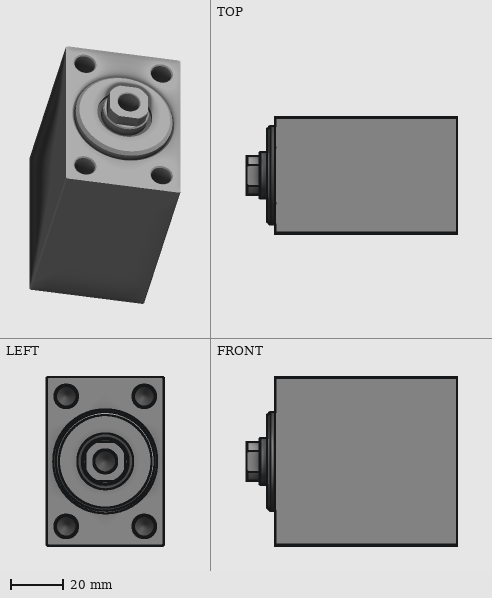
import cadquery as cq
import math


housing_length = 70.0
housing_width = 45.0
housing_height = 65.0
housing_edge_chamfer = 0.5

mount_spacing_y = 30.0
mount_spacing_z = 50.0
mount_hole_radius = 4.0
mount_hole_depth = 20.0
mount_mouth_radius = 4.5

gland_radius = 19.0
gland_projection = 3.0
gland_depth = 14.0
gland_chamfer = 1.2
bore_mouth_radius = 20.0
wiper_recess_radius = 10.75
wiper_recess_depth = 1.5

rod_radius = 9.0
rod_projection = 11.0
rod_chamfer = 0.5
square_end_radius = rod_radius - rod_chamfer
square_end_length = 5.0
tip_chamfer_length = 0.5
tip_chamfer_drop = 0.2
square_across_flats = 15.0
rod_hole_radius = 4.25
rod_hole_depth = 15.0
rod_mouth_radius = 4.6

drill_point_angle = 118.0


def cylinder(radius, start, end):
    """Round bar on the X axis from X = start to X = end."""
    return cq.Workplane("YZ", origin=(start, 0, 0)).circle(radius).extrude(end - start)


def drilled_hole(radius, mouth_radius, start, depth):
    """Hole along +X with a 45 degree countersunk mouth and a conical drill point."""
    mouth_depth = mouth_radius - radius
    point_length = radius / math.tan(math.radians(drill_point_angle / 2))
    return (
        cq.Workplane("XY")
        .moveTo(start, 0)
        .lineTo(start, mouth_radius)
        .lineTo(start + mouth_depth, radius)
        .lineTo(start + depth, radius)
        .lineTo(start + depth + point_length, 0)
        .close()
        .revolve(360, (0, 0, 0), (1, 0, 0))
    )


def make_housing():
    housing = (
        cq.Workplane("YZ")
        .rect(housing_width, housing_height)
        .extrude(housing_length)
        .edges("|X")
        .chamfer(housing_edge_chamfer)
    )
    mouth_depth = bore_mouth_radius - gland_radius
    bore = (
        cq.Workplane("XY")
        .lineTo(0, bore_mouth_radius)
        .lineTo(mouth_depth, gland_radius)
        .lineTo(gland_depth, gland_radius)
        .lineTo(gland_depth, 0)
        .close()
        .revolve(360, (0, 0, 0), (1, 0, 0))
    )
    housing = housing.cut(bore)
    mount_hole = drilled_hole(mount_hole_radius, mount_mouth_radius, 0, mount_hole_depth)
    for side_y in (-1, 1):
        for side_z in (-1, 1):
            position = (0, side_y * mount_spacing_y / 2, side_z * mount_spacing_z / 2)
            housing = housing.cut(mount_hole.translate(position))
    return housing


def make_gland():
    gland = cylinder(gland_radius, -gland_projection, gland_depth)
    gland = gland.faces("<X").chamfer(gland_chamfer)
    recess = cylinder(wiper_recess_radius, -gland_projection, wiper_recess_depth - gland_projection)
    rod_bore = cylinder(rod_radius, -gland_projection, gland_depth)
    return gland.cut(recess).cut(rod_bore)


def make_rod():
    tip = -rod_projection
    shoulder = tip + square_end_length
    body = cylinder(rod_radius, shoulder, gland_depth).faces("<X").chamfer(rod_chamfer)
    square_end = cylinder(square_end_radius, tip, shoulder)
    square_end = square_end.faces("<X").chamfer(tip_chamfer_length, tip_chamfer_drop)
    flats = (
        cq.Workplane("YZ", origin=(tip, 0, 0))
        .rect(square_across_flats, square_across_flats)
        .extrude(square_end_length)
    )
    rod = body.union(square_end.intersect(flats))
    return rod.cut(drilled_hole(rod_hole_radius, rod_mouth_radius, tip, rod_hole_depth))


housing = make_housing()
gland = make_gland()
rod = make_rod()

result = cq.Compound.makeCompound([housing.val(), gland.val(), rod.val()])